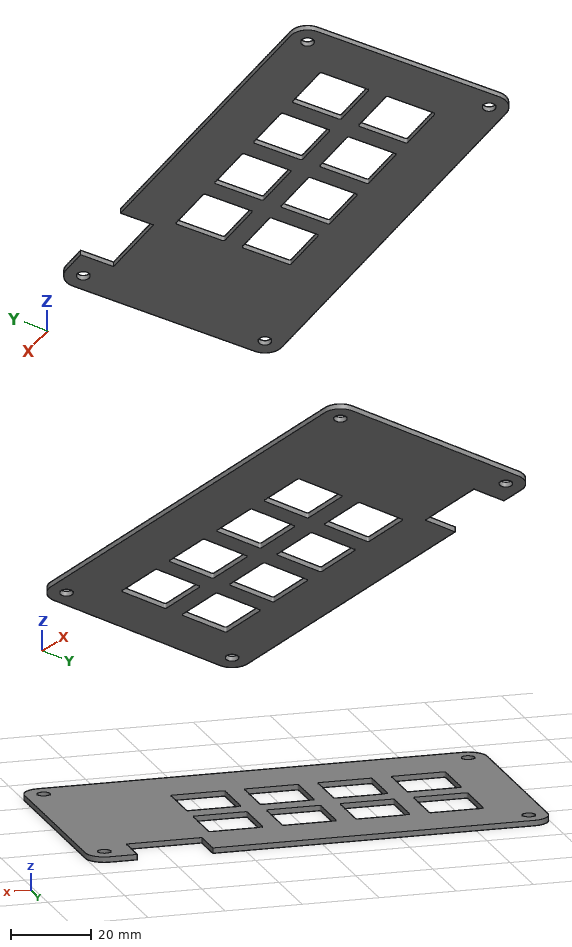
import cadquery as cq

length = 120.0
width = 62.2
thickness = 1.5
corner_radius = 4.9

hole_diameter = 3.4
hole_inset = corner_radius

columns = 4
rows = 2
window_side = 14.0
window_corner_radius = 0.5
window_pitch = 19.1
grid_center_x = -10.5
grid_center_y = 0.6

notch_width = 19.5
notch_depth = 9.5
notch_to_right_edge = 12.0


def make_plate():
    plate = cq.Workplane("XY").box(length, width, thickness, centered=(True, True, False))
    return plate.edges("|Z").fillet(corner_radius)


def make_mounting_holes():
    return (
        cq.Workplane("XY")
        .rect(length - 2 * hole_inset, width - 2 * hole_inset, forConstruction=True)
        .vertices()
        .circle(hole_diameter / 2)
        .extrude(thickness)
    )


def make_windows():
    windows = (
        cq.Workplane("XY")
        .center(grid_center_x, grid_center_y)
        .rarray(window_pitch, window_pitch, columns, rows)
        .rect(window_side, window_side)
        .extrude(thickness)
    )
    return windows.edges("|Z").fillet(window_corner_radius)


def make_notch():
    center_x = length / 2 - notch_to_right_edge - notch_width / 2
    center_y = width / 2 - notch_depth / 2
    return (
        cq.Workplane("XY")
        .center(center_x, center_y)
        .rect(notch_width, notch_depth)
        .extrude(thickness)
    )


result = make_plate().cut(make_mounting_holes()).cut(make_windows()).cut(make_notch())